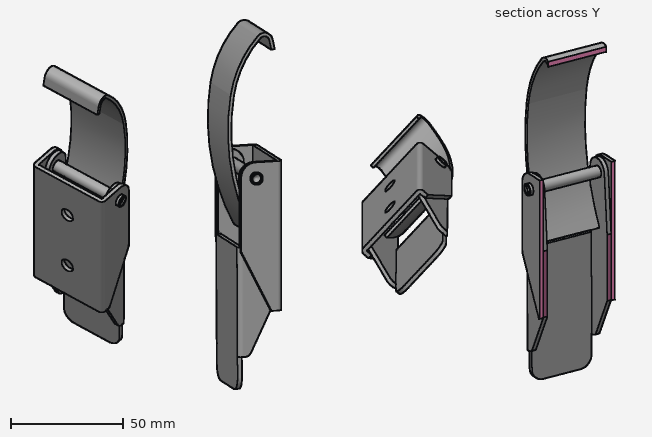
import cadquery as cq
import math

OVERALL_LENGTH = 162.5
OVERALL_DEPTH = 24.0
TOP_Z = OVERALL_LENGTH / 2
BOTTOM_Z = -OVERALL_LENGTH / 2
FRONT_Y = -OVERALL_DEPTH / 2
BACK_Y = OVERALL_DEPTH / 2

SHEET = 2.1
HOUSING_WIDTH = 40.0
HOUSING_DEPTH = 19.2
HOUSING_TOP_Z = 23.4
HOUSING_HEIGHT = 68.0
HOUSING_TOP_RADIUS = 6.3
HOUSING_BEND_RADIUS = 2.1
CUT_WIDTH = 14.1
CUT_HEIGHT = 27.6
MOUNT_HOLE_DIAMETER = 6.5
MOUNT_HOLE_DROPS = (19.0, 50.0)

PIN_LENGTH = 43.0
PIN_DIAMETER = 5.5
PIN_Y = 0.3
PIN_Z = 16.2
BORE_DIAMETER = 4.2
BORE_DEPTH = 1.1
DRILL_TIP_ANGLE = 118.0

LEVER_TILT = 0.3
LEVER_WIDTH = HOUSING_WIDTH - 2 * SHEET
LEVER_INNER_WIDTH = LEVER_WIDTH - 2 * SHEET
PLATE_BACK_Y = 7.8
PLATE_TOP_Z = -31.7
PLATE_BOTTOM_Z = (BOTTOM_Z - PIN_Z + PLATE_BACK_Y * math.sin(math.radians(LEVER_TILT))) / math.cos(
    math.radians(LEVER_TILT)
)
PLATE_CORNER_RADIUS = 6.0
LEVER_BEND_RADIUS = 2.3
EAR_RADIUS = 6.0
EAR_CENTRE_Y = 0.6
EAR_CENTRE_Z = 0.3
EAR_TIP_Y = -9.6
EAR_TIP_Z = -56.0
EAR_BOTTOM_Z = -81.5
EAR_BOTTOM_Y = 3.0
EAR_CORNER_RADIUS = 3.2

STRAP_WIDTH = 30.7
STRAP_THICKNESS = 1.6
BOW_RADIUS = 104.0
SHOULDER_RADIUS = 50.0
HOOK_RADIUS = 4.0
BOW_END_ANGLE = -28.0
BOW_ANGLE = 9.0
SHOULDER_ANGLE = 42.8
HOOK_ANGLE = 168.0
HOOK_TIP_LENGTH = 4.5


def side_sketch(width):
    """Sketch plane for YZ outlines of something `width` wide and centred on X = 0."""
    return cq.Workplane("YZ", origin=(-width / 2, 0, 0))


def pin_cylinder(length, diameter):
    """Cylinder along the pivot axis, centred on X = 0."""
    return side_sketch(length).center(PIN_Y, PIN_Z).circle(diameter / 2).extrude(length)


def polar(centre, radius, angle):
    """Point at `angle` degrees from +Y towards +Z around a centre in the YZ plane."""
    turn = math.radians(angle)
    return (centre[0] + radius * math.cos(turn), centre[1] + radius * math.sin(turn))


def make_housing():
    back_y = FRONT_Y + HOUSING_DEPTH
    bottom_z = HOUSING_TOP_Z - HOUSING_HEIGHT
    outline = [
        (FRONT_Y, HOUSING_TOP_Z),
        (back_y, HOUSING_TOP_Z),
        (back_y, bottom_z + CUT_HEIGHT),
        (back_y - CUT_WIDTH, bottom_z),
        (FRONT_Y, bottom_z),
    ]
    body = side_sketch(HOUSING_WIDTH).polyline(outline).close().extrude(HOUSING_WIDTH)
    body = body.edges("|X and >Z and >Y").fillet(HOUSING_TOP_RADIUS)
    body = body.edges("|Z and <Y").fillet(HOUSING_BEND_RADIUS)

    channel = cq.Workplane("XY").box(
        LEVER_WIDTH, HOUSING_DEPTH, HOUSING_HEIGHT, centered=(True, False, False)
    )
    body = body.cut(channel.translate((0, FRONT_Y + SHEET, bottom_z)))

    for drop in MOUNT_HOLE_DROPS:
        hole = cq.Workplane("XZ", origin=(0, FRONT_Y + SHEET, HOUSING_TOP_Z - drop))
        body = body.cut(hole.circle(MOUNT_HOLE_DIAMETER / 2).extrude(SHEET))
    return body.cut(pin_cylinder(HOUSING_WIDTH, PIN_DIAMETER))


def make_pin():
    """Rod with a blind drilled bore in each end."""
    bore_radius = BORE_DIAMETER / 2
    tip_depth = bore_radius / math.tan(math.radians(DRILL_TIP_ANGLE / 2))
    axis_depth = BORE_DEPTH + tip_depth
    bore_profile = [(0, 0), (bore_radius, 0), (bore_radius, BORE_DEPTH), (0, axis_depth)]
    bore = cq.Workplane("XY").polyline(bore_profile).close().revolve(360, (0, 0), (0, 1))
    pin = pin_cylinder(PIN_LENGTH, PIN_DIAMETER)
    for side in (-1, 1):
        placed = bore.rotate((0, 0, 0), (0, 0, 1), side * 90)
        pin = pin.cut(placed.translate((side * PIN_LENGTH / 2, PIN_Y, PIN_Z)))
    return pin


def make_lever_ears():
    """Both ears as one block, rounded at the top."""
    tip_y = EAR_TIP_Y - EAR_CENTRE_Y
    tip_z = EAR_TIP_Z - EAR_CENTRE_Z
    tip_angle = math.degrees(math.atan2(tip_z, tip_y)) + 360
    tangent_angle = tip_angle - math.degrees(math.acos(EAR_RADIUS / math.hypot(tip_y, tip_z)))
    centre = (EAR_CENTRE_Y, EAR_CENTRE_Z)
    ear_back_y = EAR_CENTRE_Y + EAR_RADIUS
    block = (
        side_sketch(LEVER_WIDTH)
        .moveTo(ear_back_y, EAR_CENTRE_Z)
        .threePointArc(polar(centre, EAR_RADIUS, 90), polar(centre, EAR_RADIUS, tangent_angle))
        .lineTo(EAR_TIP_Y, EAR_TIP_Z)
        .lineTo(EAR_BOTTOM_Y, EAR_BOTTOM_Z)
        .lineTo(PLATE_BACK_Y, EAR_BOTTOM_Z)
        .lineTo(PLATE_BACK_Y, PLATE_TOP_Z)
        .lineTo(ear_back_y, PLATE_TOP_Z)
        .close()
        .extrude(LEVER_WIDTH)
    )
    block = block.edges(cq.selectors.NearestToPointSelector((0, EAR_BOTTOM_Y, EAR_BOTTOM_Z)))
    block = block.fillet(EAR_CORNER_RADIUS)
    return block.edges("|Z and >Y").fillet(LEVER_BEND_RADIUS)


def make_lever():
    plate_height = PLATE_TOP_Z - PLATE_BOTTOM_Z
    gap_depth = 2 * HOUSING_DEPTH
    gap_height = EAR_CENTRE_Z + EAR_RADIUS - EAR_BOTTOM_Z
    gap = cq.Workplane("XY").box(LEVER_INNER_WIDTH, gap_depth, gap_height, centered=(True, False, False))
    ears = make_lever_ears().cut(gap.translate((0, PLATE_BACK_Y - gap_depth, EAR_BOTTOM_Z)))

    plate = cq.Workplane("XY").box(LEVER_INNER_WIDTH, SHEET, plate_height, centered=(True, False, False))
    plate = plate.edges("|Y and <Z").fillet(PLATE_CORNER_RADIUS)
    lever = ears.union(plate.translate((0, PLATE_BACK_Y - SHEET, PLATE_BOTTOM_Z)))

    lever = lever.rotate((0, 0, 0), (1, 0, 0), -LEVER_TILT).translate((0, PIN_Y, PIN_Z))
    return lever.cut(pin_cylinder(LEVER_WIDTH, PIN_DIAMETER))


def make_strap():
    shoulder_offset = polar((0, 0), BOW_RADIUS - SHOULDER_RADIUS, BOW_ANGLE)
    hook_offset = polar(shoulder_offset, SHOULDER_RADIUS - HOOK_RADIUS, SHOULDER_ANGLE)
    bow = (BACK_Y - BOW_RADIUS, TOP_Z - HOOK_RADIUS - hook_offset[1])
    shoulder = (bow[0] + shoulder_offset[0], bow[1] + shoulder_offset[1])
    hook = (bow[0] + hook_offset[0], bow[1] + hook_offset[1])

    arcs = [
        (bow, BOW_RADIUS, BOW_END_ANGLE, BOW_ANGLE),
        (shoulder, SHOULDER_RADIUS, BOW_ANGLE, SHOULDER_ANGLE),
        (hook, HOOK_RADIUS, SHOULDER_ANGLE, HOOK_ANGLE),
    ]
    outline = side_sketch(STRAP_WIDTH).moveTo(*polar(bow, BOW_RADIUS, BOW_END_ANGLE))
    for centre, radius, start, end in arcs:
        outline = outline.threePointArc(polar(centre, radius, (start + end) / 2), polar(centre, radius, end))

    inner_hook_end = polar(hook, HOOK_RADIUS - STRAP_THICKNESS, HOOK_ANGLE)
    tip_heading = HOOK_ANGLE + 90
    outline = (
        outline.lineTo(*polar(polar(hook, HOOK_RADIUS, HOOK_ANGLE), HOOK_TIP_LENGTH, tip_heading))
        .lineTo(*polar(inner_hook_end, HOOK_TIP_LENGTH, tip_heading))
        .lineTo(*inner_hook_end)
    )
    for centre, radius, start, end in reversed(arcs):
        inner = radius - STRAP_THICKNESS
        outline = outline.threePointArc(polar(centre, inner, (start + end) / 2), polar(centre, inner, start))
    return outline.close().extrude(STRAP_WIDTH)


housing = make_housing()
pin = make_pin()
lever = make_lever()
strap = make_strap()

result = cq.Compound.makeCompound([housing.val(), pin.val(), lever.val(), strap.val()])